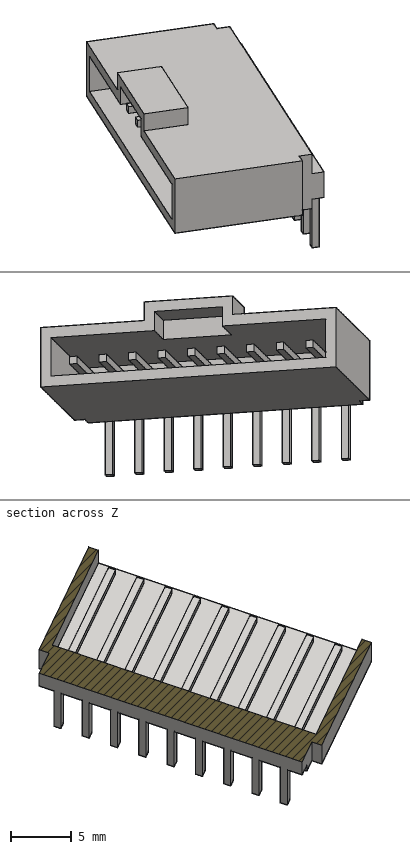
import cadquery as cq


length = 25.4
height = 5.13
housing_depth = 12.2
wall = 0.9
corner_notch_depth = 1.12
inner_length = length - 2 * wall

cavity_height = 3.3
cavity_depth = housing_depth - corner_notch_depth - wall

key_width = 7.62
key_depth = 3.84
key_top = 6.73
key_slot_width = key_width - 2 * wall
key_slot_depth = key_depth - wall

ledge_depth = 1.05
ledge_height = 2.41
back = housing_depth + ledge_depth

pin_count = 9
pitch = 2.55
pin_size = 0.64
pin_row_offset = -0.08
pin_center_z = 2.5
pin_tip_setback = 1.3
post_drop = 4.45


def block(width, depth, block_height, x=0.0, y=0.0, z=0.0):
    """Box centred on x, with its front face at y and its underside at z."""
    box = cq.Workplane("XY").box(width, depth, block_height, centered=(True, False, False))
    return box.translate((x, y, z))


def make_housing():
    """Body with narrowed rear end, raised key and rear ledge."""
    body = block(length, housing_depth - corner_notch_depth, height)
    rear = block(inner_length, housing_depth, height)
    key = block(key_width, key_depth, key_top)
    ledge = block(inner_length, back, ledge_height, z=wall)
    return body.union(rear).union(key).union(ledge)


def make_cavity():
    """Mating opening together with the slot inside the key."""
    opening = block(inner_length, cavity_depth, cavity_height, z=wall)
    key_slot = block(key_slot_width, key_slot_depth, key_top - 2 * wall, z=wall)
    return opening.union(key_slot)


def make_contact(post_x):
    """Mating pin, offset sideways from the solder post it belongs to."""
    pin = block(
        pin_size,
        housing_depth - pin_tip_setback,
        pin_size,
        x=post_x + pin_row_offset,
        y=pin_tip_setback,
        z=pin_center_z - pin_size / 2,
    )
    post_height = post_drop + wall
    post = block(pin_size, pin_size, post_height, x=post_x, y=back - pin_size, z=-post_drop)
    return pin.union(post)


result = make_housing().cut(make_cavity())
for index in range(pin_count):
    result = result.union(make_contact((index - (pin_count - 1) / 2) * pitch))